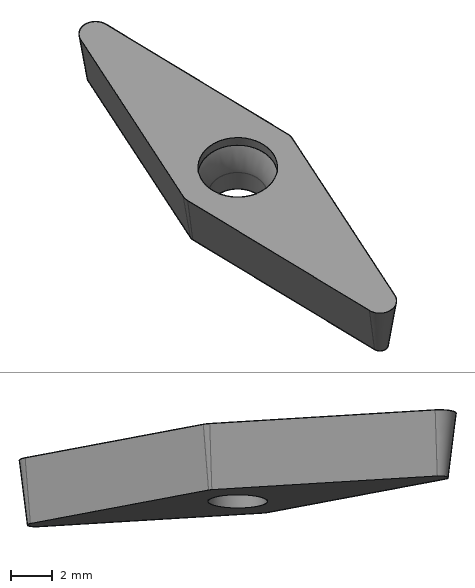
import cadquery as cq
import math

length = 23.02
thickness = 3.18
width = 6.35
acute_angle = 25.0
relief_angle = 7.0

half_tip_slope = math.tan(math.radians(acute_angle / 2))
nose_radius = (width - length * half_tip_slope) / (2 * (1 - half_tip_slope))

mouth_diameter = 3.82
bore_diameter = 2.85
mouth_depth = 0.55
seat_depth = 1.43


def make_body():
    """Rounded rhombus at the top face, tapering inward towards the bottom."""
    half_width = width / 2
    angle = math.radians(acute_angle)
    slant_shift = half_width / math.tan(angle)
    half_side = half_width / math.sin(angle)
    corners = [
        (-half_side - slant_shift, -half_width),
        (half_side - slant_shift, -half_width),
        (half_side + slant_shift, half_width),
        (-half_side + slant_shift, half_width),
    ]
    outline = cq.Sketch().polygon(corners + corners[:1]).vertices().fillet(nose_radius)
    return (
        cq.Workplane("XY")
        .workplane(offset=thickness)
        .placeSketch(outline)
        .extrude(-thickness, taper=relief_angle)
    )


def make_screw_hole():
    """Revolved hole: straight mouth, arc seat tangent to the bore, straight bore."""
    mouth_radius = mouth_diameter / 2
    bore_radius = bore_diameter / 2
    seat_top = thickness - mouth_depth
    seat_bottom = seat_top - seat_depth
    return (
        cq.Workplane("XZ")
        .moveTo(0, 0)
        .lineTo(bore_radius, 0)
        .lineTo(bore_radius, seat_bottom)
        .tangentArcPoint((mouth_radius, seat_top), relative=False)
        .lineTo(mouth_radius, thickness)
        .lineTo(0, thickness)
        .close()
        .revolve(360, (0, 0, 0), (0, 1, 0))
    )


result = make_body().cut(make_screw_hole())